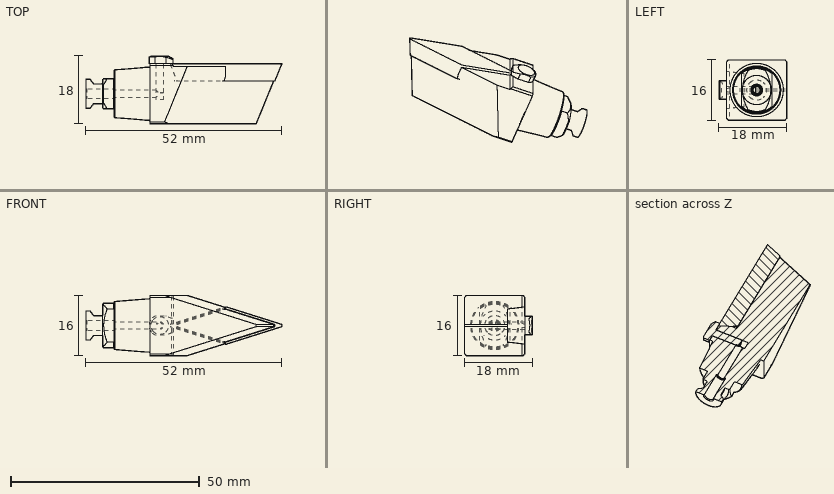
import cadquery as cq
import math


knob_radius = 7.75 / 2
knob_rim_length = 1.15
stem_radius = 2.65
stem_start = 2.1
collar_start = 4.45
collar_end = 7.45
collar_radius = 5.95
collar_chamfer = 0.25
collar_half_flat = 4.0
relief_arc_radius = 9.85
relief_arc_crown = 3.75
stud_bore_radius = 1.3
bore_mouth_chamfer = 0.25
turned_fillet = 0.15

shank_end_radius = 6.15
shank_end_chamfer = 0.25
shank_base_radius = 7.05
cone_end = 16.1
head_bore_radius = 0.95
head_bore_chamfer = 0.2

block_size = 16.0
half_block = block_size / 2
block_start = 16.95
block_chamfer = 0.5
overall_length = 52.0
relief_face_depth = 0.8
relief_face_start = 22.7
relief_face_run = 0.5
wedge_nose_x = 45.15
wedge_nose_half_width = 0.285

insert_inscribed_radius = 9.5 / 2
insert_thickness = 4.7
insert_corner_radius = 0.4
half_nose_angle = math.radians(17.5)
clearance_angle = math.radians(7.0)
seat_undercut = 0.2
seat_undercut_height = 1.15

clamp_height = 2.0
clamp_center_x = 19.6
clamp_round_radius = 2.8
clamp_half_width = 4.95 / 2
clamp_taper_start = 21.2
clamp_front_x = 23.15
clamp_front_half_width = 1.8
clamp_front_corner_radius = 0.5
clamp_crown_radius = 2.35
clamp_crown_angle = math.radians(30)
clamp_stem_radius = 1.0
clamp_stem_end_y = 0.15
clamp_stem_chamfer = 0.2
clamp_hole_end_y = -1.55

tolerance = 0.005

flank_lean = math.tan(clearance_angle) / math.sin(half_nose_angle)

nose_rounding_loss = insert_corner_radius * (1 / math.sin(half_nose_angle) - 1)
insert_center_x = overall_length + nose_rounding_loss - insert_inscribed_radius / math.sin(half_nose_angle)


def revolved(profile):
    """Solid of revolution about the X axis from (x, radius) points."""
    return cq.Workplane("XZ").polyline(profile).close().revolve(360, (0, 0, 0), (1, 0, 0))


def xz_plane_at(y):
    """Plane at height y whose local axes are X and Z."""
    return cq.Plane(origin=(0, y, 0), xDir=(1, 0, 0), normal=(0, -1, 0))


def end_relief_cone(side):
    """Cone that rounds the free end of the collar flat on the given Y side."""
    center_y = side * (relief_arc_crown - relief_arc_radius)
    length = collar_end - collar_start
    return cq.Workplane(
        cq.Solid.makeCone(
            relief_arc_radius,
            relief_arc_radius + length,
            length,
            cq.Vector(collar_start, center_y, 0),
            cq.Vector(1, 0, 0),
        )
    )


def make_knob():
    return revolved(
        [
            (0, 0),
            (0, knob_radius),
            (knob_rim_length, knob_radius),
            (stem_start, stem_radius),
            (collar_start, stem_radius),
            (collar_start, 0),
        ]
    )


def make_collar():
    collar = revolved(
        [
            (collar_start, 0),
            (collar_start, collar_radius - collar_chamfer),
            (collar_start + collar_chamfer, collar_radius),
            (collar_end, collar_radius),
            (collar_end, 0),
        ]
    )
    flats = cq.Workplane("XY").box(2 * collar_end, 2 * collar_half_flat, 2 * collar_radius)
    collar = collar.intersect(flats)
    for side in (1, -1):
        collar = collar.intersect(end_relief_cone(side))
    return collar


def rhombus_wire(inscribed_radius, y):
    """Round-cornered rhombus centred on the insert axis, in the plane at height y."""
    half_length = inscribed_radius / math.sin(half_nose_angle)
    half_height = inscribed_radius / math.cos(half_nose_angle)
    corners = [(half_length, 0), (0, half_height), (-half_length, 0), (0, -half_height)]
    corners = [cq.Vector(insert_center_x + x, y, z) for x, z in corners]
    sharp = cq.Wire.makePolygon(corners, close=True)
    return sharp.fillet2D(insert_corner_radius, sharp.Vertices())


def inscribed_radius_at(y):
    """Inscribed radius of the insert at height y, where the clearance has narrowed it."""
    return insert_inscribed_radius - (half_block - y) * math.tan(clearance_angle)


def make_insert():
    floor_y = half_block - insert_thickness
    top = rhombus_wire(insert_inscribed_radius, half_block)
    bottom = rhombus_wire(inscribed_radius_at(floor_y), floor_y)
    return cq.Workplane(cq.Solid.makeLoft([top, bottom], True))


def seat_undercut_cut():
    """Widening along the foot of the insert pocket's walls."""
    floor_y = half_block - insert_thickness
    rim_y = floor_y + seat_undercut_height
    rim = rhombus_wire(inscribed_radius_at(rim_y), rim_y)
    floor = rhombus_wire(inscribed_radius_at(floor_y) + seat_undercut, floor_y)
    return cq.Workplane(cq.Solid.makeLoft([rim, floor], True))


def clamp_stem(radius, end_y):
    """Round stem that runs down from the +Y face of the block to end_y."""
    return (
        cq.Workplane(xz_plane_at(half_block))
        .center(clamp_center_x, 0)
        .circle(radius)
        .extrude(half_block - end_y)
    )


def make_clamp():
    half_chord = math.sqrt(clamp_round_radius**2 - clamp_half_width**2)
    top_y = half_block + clamp_height
    head = (
        cq.Workplane(xz_plane_at(top_y))
        .moveTo(clamp_taper_start, clamp_half_width)
        .lineTo(clamp_center_x - half_chord, clamp_half_width)
        .threePointArc(
            (clamp_center_x - clamp_round_radius, 0),
            (clamp_center_x - half_chord, -clamp_half_width),
        )
        .lineTo(clamp_taper_start, -clamp_half_width)
        .lineTo(clamp_front_x, -clamp_front_half_width)
        .lineTo(clamp_front_x, clamp_front_half_width)
        .close()
        .extrude(clamp_height)
    )
    head = head.edges("|Y and >X").fillet(clamp_front_corner_radius)
    crown = cq.Workplane(
        cq.Solid.makeCone(
            clamp_crown_radius,
            clamp_crown_radius + clamp_height / math.tan(clamp_crown_angle),
            clamp_height,
            cq.Vector(clamp_center_x, top_y, 0),
            cq.Vector(0, -1, 0),
        )
    )
    stem = clamp_stem(clamp_stem_radius, clamp_stem_end_y).faces("<Y").chamfer(clamp_stem_chamfer)
    return head.intersect(crown).union(stem)


def wedge_wire(y):
    """Outline of the block and its wedge in the plane at height y."""
    nose_x = wedge_nose_x + flank_lean * (y + half_block)
    flank_rise = half_block - wedge_nose_half_width
    shoulder_x = nose_x - flank_rise / math.tan(half_nose_angle)
    upper = [(block_start, half_block), (shoulder_x, half_block), (nose_x, wedge_nose_half_width)]
    lower = [(x, -z) for x, z in reversed(upper)]
    points = [cq.Vector(x, y, z) for x, z in upper + lower]
    return cq.Wire.makePolygon(points, close=True)


def make_block():
    wedge = cq.Workplane(
        cq.Solid.makeLoft([wedge_wire(half_block), wedge_wire(-half_block)], True)
    )
    bar = (
        cq.Workplane("XY")
        .box(overall_length, block_size, block_size)
        .edges("|X")
        .chamfer(block_chamfer)
        .translate((block_start + overall_length / 2, 0, 0))
    )
    return wedge.intersect(bar)


def make_shank():
    return revolved(
        [
            (collar_end, 0),
            (collar_end, shank_end_radius),
            (collar_end + shank_end_chamfer, shank_end_radius + shank_end_chamfer),
            (cone_end, shank_base_radius),
            (block_start, shank_base_radius),
            (block_start, 0),
        ]
    )


def relief_face_cut():
    """Shallow step along the +Y face, from the clamp to the nose."""
    floor_y = half_block - relief_face_depth
    return (
        cq.Workplane("XY")
        .moveTo(relief_face_start, half_block)
        .lineTo(relief_face_start + relief_face_run, floor_y)
        .lineTo(overall_length, floor_y)
        .lineTo(overall_length, half_block)
        .close()
        .extrude(half_block, both=True)
    )


def coolant_bore():
    """Stepped bore from the free end of the stud to the clamp hole."""
    return revolved(
        [
            (0, 0),
            (0, stud_bore_radius + bore_mouth_chamfer),
            (bore_mouth_chamfer, stud_bore_radius),
            (collar_end, stud_bore_radius),
            (collar_end, head_bore_radius + head_bore_chamfer),
            (collar_end + head_bore_chamfer, head_bore_radius),
            (clamp_center_x, head_bore_radius),
            (clamp_center_x, 0),
        ]
    )


def edges_at(part, x, radius):
    """Edges lying in the plane at x that start at the given distance from the X axis."""
    found = []
    for edge in part.edges().vals():
        box = edge.BoundingBox()
        start = edge.startPoint()
        in_plane = abs(box.xmin - x) < tolerance and abs(box.xmax - x) < tolerance
        if in_plane and abs(math.hypot(start.y, start.z) - radius) < tolerance:
            found.append(edge)
    return found


def fillet_turned_corners(part):
    corners = [
        (knob_rim_length, knob_radius),
        (stem_start, stem_radius),
        (collar_start, stem_radius),
        (collar_end, collar_radius),
        (block_start, shank_base_radius),
    ]
    for x, radius in corners:
        part = part.newObject(edges_at(part, x, radius)).fillet(turned_fillet)
    return part


def make_head(insert):
    blank = make_block().union(make_shank()).union(make_collar()).union(make_knob())
    return (
        fillet_turned_corners(blank)
        .cut(relief_face_cut())
        .cut(coolant_bore())
        .cut(clamp_stem(clamp_stem_radius, clamp_hole_end_y))
        .cut(insert)
        .cut(seat_undercut_cut())
    )


insert = make_insert()
clamp = make_clamp()
head = make_head(insert)

result = cq.Compound.makeCompound([head.val(), insert.val(), clamp.val()])